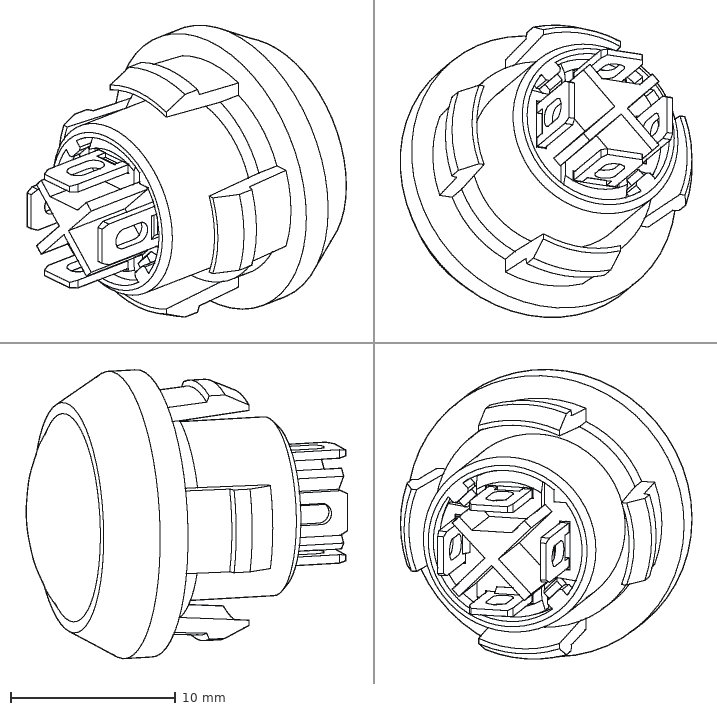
import cadquery as cq
import math


flange_radius = 17.53 / 2
flange_thickness = 1.78
cone_end_y = 4.83
cone_end_radius = 7.02
dome_apex_y = 7.04
dome_radius = 12.7 / 2

collar_radius = 6.595
collar_length = 1.47
body_radius = 10.92 / 2
body_end_y = -8.41
body_chamfer = 0.43
bore_radius = 9.42 / 2
bore_floor_y = -6.9

clip_width = 5.12
clip_end_y = -5.89
clip_root_radius = 7.36
clip_neck_radius = 7.59
clip_neck_y = -3.18
clip_barb_radius = 7.95
clip_barb_start_y = -3.34
clip_barb_end_y = -4.36
clip_tip_outer_radius = 7.28
clip_tip_inner_radius = 6.97

insert_radius = 9.2 / 2
insert_front_y = -7.36
block_half_width = 2.03
block_front_y = -8.06
block_chamfer_radial = 0.68
block_chamfer_axial = 0.42

cross_end_y = -11.96
cross_half_length = 3.23
cross_thickness = 0.61
web_flat_z = 1.69

tab_width = 2.76
tab_thickness = 0.53
tab_inner_radius = 2.98
tab_end_y = -12.52
short_tab_setback = 0.62
tip_length = 0.48
tip_side_cut = 0.23
tip_face_cut = 0.08
eye_width = 1.3
eye_length = 2.59
eye_to_end = 1.05
dimple_width = 1.58
dimple_depth = 0.31
dimple_to_end = 3.95
dimple_ramp_length = 0.5
socket_width = 3.02
socket_margin = 0.12
socket_depth = 0.2

key_half_width = 0.66
key_shoulder_radius = 4.21
key_face_radius = 4.06
key_face_half_width = 0.48
tongue_inner_radius = 3.44
tongue_half_width = 0.57
tongue_recess = 0.6
tongue_bevel_radial = 0.15
tongue_bevel_axial = 0.4
notch_outer_half_width = 1.5
corner_key_offset = 2.94

DIAGONAL = 45


def turned(outline):
    """Solid of revolution about Y from (radius, y) points."""
    return cq.Workplane("XY").polyline(outline).close().revolve(360, (0, 0, 0), (0, 1, 0))


def prism(outline, y_start, y_end):
    """Prism along Y between two levels, from (x, z) points."""
    low, high = sorted((y_start, y_end))
    plane = cq.Workplane("XZ", origin=(0, high, 0))
    return plane.polyline(outline).close().extrude(high - low)


def rod(radius, y_start, y_end):
    """Cylinder along Y between two levels."""
    low, high = sorted((y_start, y_end))
    return cq.Workplane("XZ", origin=(0, high, 0)).circle(radius).extrude(high - low)


def spun(shape, angle):
    """The shape turned about the part axis."""
    return shape.rotate((0, 0, 0), (0, 1, 0), angle)


def rectangle(half_width, z_low, z_high):
    return [(-half_width, z_low), (half_width, z_low), (half_width, z_high), (-half_width, z_high)]


def make_cap():
    rise = dome_apex_y - cone_end_y
    sphere_radius = (dome_radius**2 + rise**2) / (2 * rise)
    half_angle = math.asin(dome_radius / sphere_radius) / 2
    middle_x = sphere_radius * math.sin(half_angle)
    middle_y = dome_apex_y - sphere_radius * (1 - math.cos(half_angle))
    outline = (
        cq.Workplane("XY")
        .lineTo(flange_radius, 0)
        .lineTo(flange_radius, flange_thickness)
        .lineTo(cone_end_radius, cone_end_y)
        .lineTo(dome_radius, cone_end_y)
        .threePointArc((middle_x, middle_y), (0, dome_apex_y))
        .close()
    )
    return outline.revolve(360, (0, 0, 0), (0, 1, 0))


def make_body():
    body = turned([
        (0, 0),
        (collar_radius, 0),
        (collar_radius, -collar_length),
        (body_radius, -collar_length),
        (body_radius, body_end_y + body_chamfer),
        (body_radius - body_chamfer, body_end_y),
        (0, body_end_y),
    ])
    return body.cut(rod(bore_radius, bore_floor_y, body_end_y))


def make_clips():
    ring = turned([
        (collar_radius, 0),
        (clip_root_radius, 0),
        (clip_neck_radius, clip_neck_y),
        (clip_barb_radius, clip_barb_start_y),
        (clip_barb_radius, clip_barb_end_y),
        (clip_tip_outer_radius, clip_end_y),
        (clip_tip_inner_radius, clip_end_y),
        (collar_radius, -collar_length),
    ])
    span = 2 * flange_radius
    strip = cq.Workplane("XY").box(clip_width, span, span)
    return ring.intersect(strip.union(spun(strip, 90)))


def make_insert():
    insert = rod(insert_radius, bore_floor_y, insert_front_y)
    notch = prism(
        [
            (-tongue_half_width, tongue_inner_radius),
            (tongue_half_width, tongue_inner_radius),
            (notch_outer_half_width, insert_radius),
            (-notch_outer_half_width, insert_radius),
        ],
        bore_floor_y,
        insert_front_y,
    )
    for side in (-DIAGONAL, 180 - DIAGONAL):
        insert = insert.cut(spun(notch, side))
    return insert


def make_blocks():
    """Raised tab holders on the +Z and -Z sides of the cross, with a tapered outer edge.

    One side of each holder leans outward along the edge of the diagonal notch.
    """
    notch_edge_x = -(insert_radius - notch_outer_half_width) / math.sqrt(2)
    notch_edge_z = (insert_radius + notch_outer_half_width) / math.sqrt(2)
    notch_start_z = (tongue_inner_radius + tongue_half_width) / math.sqrt(2)
    envelope = turned([
        (0, bore_floor_y),
        (insert_radius, bore_floor_y),
        (insert_radius, block_front_y + block_chamfer_axial),
        (insert_radius - block_chamfer_radial, block_front_y),
        (0, block_front_y),
    ])
    wedge = prism(
        [
            (0, 0),
            (block_half_width, block_half_width),
            (block_half_width, insert_radius),
            (notch_edge_x, insert_radius),
            (notch_edge_x, notch_edge_z),
            (-block_half_width, notch_start_z),
            (-block_half_width, block_half_width),
        ],
        bore_floor_y,
        block_front_y,
    )
    return envelope.intersect(wedge.union(spun(wedge, 180)))


def make_cross():
    bar = prism(
        rectangle(cross_thickness / 2, -cross_half_length, cross_half_length),
        bore_floor_y,
        cross_end_y,
    )
    web = prism([(0, 0), (web_flat_z, web_flat_z), (-web_flat_z, web_flat_z)], bore_floor_y, cross_end_y)
    return spun(bar, DIAGONAL).union(spun(bar, -DIAGONAL)).union(web)


def make_tab(end_y):
    """Solder tab on the +Z side of the axis."""
    half_width = tab_width / 2
    outer_radius = tab_inner_radius + tab_thickness
    tip_y = end_y + tip_length
    plate = (
        cq.Workplane("XY", origin=(0, 0, tab_inner_radius))
        .polyline([
            (-half_width, bore_floor_y),
            (-half_width, tip_y),
            (-half_width + tip_side_cut, end_y),
            (half_width - tip_side_cut, end_y),
            (half_width, tip_y),
            (half_width, bore_floor_y),
        ])
        .close()
        .extrude(tab_thickness)
    )
    side_profile = (
        cq.Workplane("YZ", origin=(-half_width, 0, 0))
        .polyline([
            (bore_floor_y, tab_inner_radius),
            (tip_y, tab_inner_radius),
            (end_y, tab_inner_radius + tip_face_cut),
            (end_y, outer_radius - tip_face_cut),
            (tip_y, outer_radius),
            (bore_floor_y, outer_radius),
        ])
        .close()
        .extrude(tab_width)
    )
    eye = (
        cq.Workplane("XY", origin=(0, end_y + eye_to_end + eye_length / 2, tab_inner_radius))
        .slot2D(eye_length, eye_width, 90)
        .extrude(tab_thickness)
    )
    dimple_y = end_y + dimple_to_end
    bump = (
        cq.Workplane("YZ", origin=(-dimple_width / 2, 0, 0))
        .polyline([
            (bore_floor_y, tab_inner_radius),
            (dimple_y, tab_inner_radius),
            (dimple_y + dimple_ramp_length, tab_inner_radius - dimple_depth),
            (bore_floor_y, tab_inner_radius - dimple_depth),
        ])
        .close()
        .extrude(dimple_width)
    )
    dent = bump.translate((0, 0, tab_thickness))
    return plate.intersect(side_profile).cut(eye).cut(dent).union(bump)


def make_socket(front_y):
    """Shallow clearance pocket around the root of a +Z tab."""
    outline = rectangle(socket_width / 2, tab_inner_radius, tab_inner_radius + tab_thickness + socket_margin)
    return prism(outline, front_y + socket_depth, front_y)


def make_diagonal_key():
    """Wall key with a recessed tongue, on the +Z side of the axis."""
    key = prism(
        [
            (-key_face_half_width, key_face_radius),
            (key_face_half_width, key_face_radius),
            (key_half_width, key_shoulder_radius),
            (key_half_width, bore_radius),
            (-key_half_width, bore_radius),
            (-key_half_width, key_shoulder_radius),
        ],
        bore_floor_y,
        body_end_y,
    )
    tongue_front_y = body_end_y + tongue_recess
    tongue = (
        cq.Workplane("YZ", origin=(-tongue_half_width, 0, 0))
        .polyline([
            (bore_floor_y, key_face_radius),
            (tongue_front_y, key_face_radius),
            (tongue_front_y, tongue_inner_radius + tongue_bevel_radial),
            (tongue_front_y + tongue_bevel_axial, tongue_inner_radius),
            (bore_floor_y, tongue_inner_radius),
        ])
        .close()
        .extrude(2 * tongue_half_width)
    )
    return key.union(tongue)


def make_corner_key():
    """Square-cornered wall key in the +X +Z quarter."""
    corner = prism(
        [
            (corner_key_offset, corner_key_offset),
            (bore_radius, corner_key_offset),
            (bore_radius, bore_radius),
            (corner_key_offset, bore_radius),
        ],
        bore_floor_y,
        body_end_y,
    )
    return corner.intersect(rod(body_radius - body_chamfer, bore_floor_y, body_end_y))


result = make_cap().union(make_body()).union(make_clips())
result = result.union(make_insert()).union(make_blocks())

tab_layout = [
    (0, tab_end_y, block_front_y),
    (180, tab_end_y, block_front_y),
    (90, tab_end_y + short_tab_setback, insert_front_y),
    (270, tab_end_y + short_tab_setback, insert_front_y),
]
for angle, end_y, front_y in tab_layout:
    result = result.cut(spun(make_socket(front_y), angle))
for angle, end_y, front_y in tab_layout:
    result = result.union(spun(make_tab(end_y), angle))

result = result.union(make_cross())
for angle in (-DIAGONAL, 180 - DIAGONAL):
    result = result.union(spun(make_diagonal_key(), angle))
result = result.union(make_corner_key())